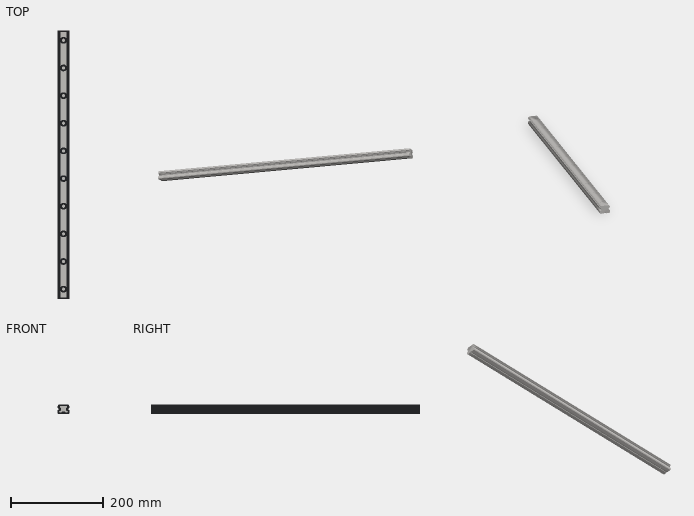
import cadquery as cq

RAIL_WIDTH = 23.0
RAIL_LENGTH = 580.0
RAIL_HEIGHT = 18.0

HALF_WIDTH = RAIL_WIDTH / 2
TOP_HALF_WIDTH = 8.3
WAIST_HALF_WIDTH = 7.5
WAIST_TOP = 10.0
WAIST_BOTTOM = 8.0
FOOT_CHAMFER = 1.5
FOOT_SIDE_TOP = 5.0
FOOT_SHOULDER_HALF_WIDTH = 10.8
FOOT_SHOULDER_HEIGHT = 6.5

HEAD_EDGE_BOTTOM = 13.3
HEAD_EDGE_TOP = 14.5
UPPER_TRACK_HALF_WIDTH = 9.9
UPPER_TRACK_TOP = 16.6
LOWER_TRACK_HALF_WIDTH = 9.0
LOWER_TRACK_BOTTOM = 11.0
UPPER_TRACK_SAG = 0.4
LOWER_TRACK_SAG = 0.6

GROOVE_WIDTH = 4.0
GROOVE_DEPTH = 1.4

HOLE_PITCH = 60.0
HOLE_COUNT = 10
CAP_DIAMETER = 11.0
CAP_RECESS = 0.2


def rail_body():
    """Extrude the symmetric rail section along Y, centred on the origin."""
    foot_corner = HALF_WIDTH - FOOT_CHAMFER
    right_half = (
        cq.Workplane("XZ")
        .lineTo(foot_corner, 0)
        .lineTo(HALF_WIDTH, FOOT_CHAMFER)
        .lineTo(HALF_WIDTH, FOOT_SIDE_TOP)
        .lineTo(FOOT_SHOULDER_HALF_WIDTH, FOOT_SHOULDER_HEIGHT)
        .lineTo(WAIST_HALF_WIDTH, WAIST_BOTTOM)
        .lineTo(WAIST_HALF_WIDTH, WAIST_TOP)
        .lineTo(LOWER_TRACK_HALF_WIDTH, LOWER_TRACK_BOTTOM)
        .sagittaArc((HALF_WIDTH, HEAD_EDGE_BOTTOM), LOWER_TRACK_SAG)
        .lineTo(HALF_WIDTH, HEAD_EDGE_TOP)
        .sagittaArc((UPPER_TRACK_HALF_WIDTH, UPPER_TRACK_TOP), UPPER_TRACK_SAG)
        .lineTo(TOP_HALF_WIDTH, RAIL_HEIGHT)
        .lineTo(0, RAIL_HEIGHT)
    )
    return right_half.mirrorY().extrude(RAIL_LENGTH / 2, both=True)


def base_groove():
    """Rectangular bar that cuts the groove along the whole base."""
    return cq.Workplane("XY").box(
        GROOVE_WIDTH, RAIL_LENGTH, GROOVE_DEPTH, centered=(True, True, False)
    )


def cap_recesses():
    """Round shallow recesses, evenly spaced along the top face."""
    recess_floor = RAIL_HEIGHT - CAP_RECESS
    return (
        cq.Workplane("XY", origin=(0, 0, recess_floor))
        .rarray(1, HOLE_PITCH, 1, HOLE_COUNT)
        .circle(CAP_DIAMETER / 2)
        .extrude(CAP_RECESS)
    )


result = rail_body().cut(base_groove()).cut(cap_recesses())